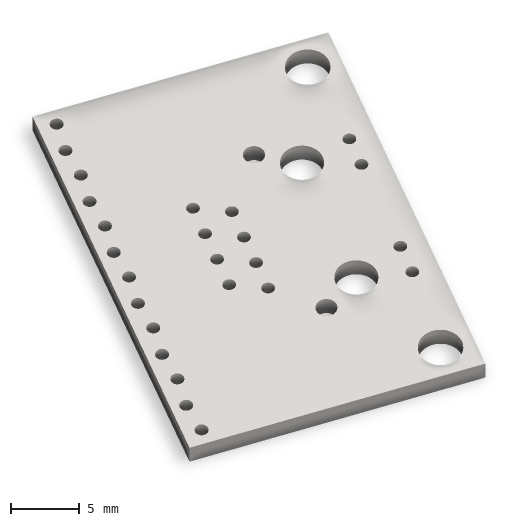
import cadquery as cq

BOARD_LENGTH = 33.02
BOARD_WIDTH = 22.86
BOARD_THICKNESS = 1.6

PITCH = 2.54

MOUNT_DIAMETER = 3.302
MOUNT_INSET = PITCH

HEADER_COUNT = 13
HEADER_DIAMETER = 1.016
HEADER_EDGE_DISTANCE = PITCH / 2
HEADER_STAGGER = 0.127

POST_DIAMETER = 3.2
POST_SPACING = 11.43
POST_Y = 5.42

SHIELD_DIAMETER = 1.6
SHIELD_SPACING = 15.24
POST_TO_SHIELD = 3.01
SHIELD_Y = POST_Y - POST_TO_SHIELD

CONTACT_DIAMETER = 1.0
CONTACTS_PER_ROW = 4
CONTACT_ROW_SHIFT = PITCH / 4
POST_TO_REAR_CONTACTS = 2.5 * PITCH
REAR_CONTACT_Y = POST_Y - POST_TO_REAR_CONTACTS
FRONT_CONTACT_Y = REAR_CONTACT_Y - PITCH

LED_DIAMETER = 1.0
LED_PAIR_OFFSET = 5.355
POST_TO_LEDS = 3.99
LED_Y = POST_Y + POST_TO_LEDS


def row_points(count, centre_x, y, spacing=PITCH):
    """Evenly spaced points along X, centred on centre_x."""
    first_x = centre_x - (count - 1) * spacing / 2
    return [(first_x + i * spacing, y) for i in range(count)]


def header_points():
    """Header row with holes alternately behind and in front of its centre line."""
    centre_y = -BOARD_WIDTH / 2 + HEADER_EDGE_DISTANCE
    points = []
    for i, (x, y) in enumerate(row_points(HEADER_COUNT, 0, centre_y)):
        shift = HEADER_STAGGER if i % 2 == 0 else -HEADER_STAGGER
        points.append((x, y + shift))
    return points


def contact_points():
    """Two rows of jack contacts, offset from each other by half a pitch."""
    rear_row = row_points(CONTACTS_PER_ROW, CONTACT_ROW_SHIFT, REAR_CONTACT_Y)
    front_row = row_points(CONTACTS_PER_ROW, -CONTACT_ROW_SHIFT, FRONT_CONTACT_Y)
    return rear_row + front_row


def led_points():
    """One pair of LED leads on each side of the jack."""
    left_pair = row_points(2, -LED_PAIR_OFFSET, LED_Y)
    right_pair = row_points(2, LED_PAIR_OFFSET, LED_Y)
    return left_pair + right_pair


def drill(board, points, diameter):
    """Drill through holes from the top face at board coordinates."""
    top = board.faces(">Z").workplane(origin=(0, 0, BOARD_THICKNESS))
    return top.pushPoints(points).hole(diameter)


mount_spacing = BOARD_LENGTH - 2 * MOUNT_INSET
mount_y = BOARD_WIDTH / 2 - MOUNT_INSET

board = cq.Workplane("XY").box(
    BOARD_LENGTH, BOARD_WIDTH, BOARD_THICKNESS, centered=(True, True, False)
)
board = drill(board, row_points(2, 0, mount_y, mount_spacing), MOUNT_DIAMETER)
board = drill(board, header_points(), HEADER_DIAMETER)
board = drill(board, row_points(2, 0, POST_Y, POST_SPACING), POST_DIAMETER)
board = drill(board, row_points(2, 0, SHIELD_Y, SHIELD_SPACING), SHIELD_DIAMETER)
board = drill(board, contact_points(), CONTACT_DIAMETER)
board = drill(board, led_points(), LED_DIAMETER)

result = board